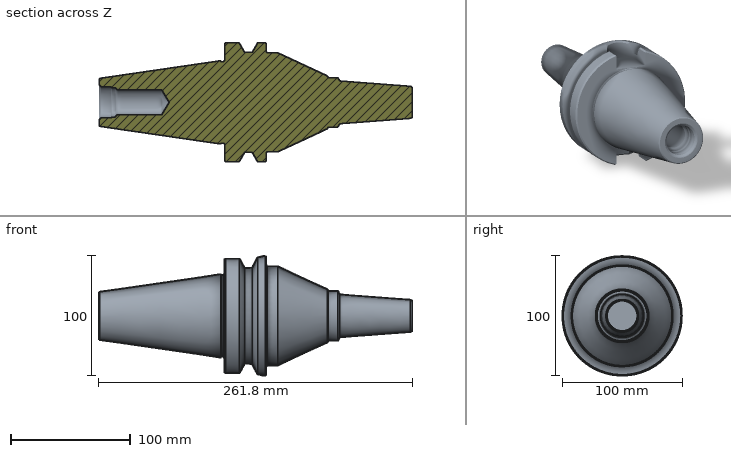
import cadquery as cq
import math

length = 261.8
flange_radius = 50.0

taper_length = 101.5
taper_small_radius = 20.2
taper_slope = 7 / 24 / 2
taper_large_radius = taper_small_radius + taper_length * taper_slope
shank_edge = 0.8

relief_start = 102.0
relief_end = 104.0
relief_radius = 34.3

flange_start = 104.7
flange_width = 35.0
flange_end = flange_start + flange_width
front_edge_length = 1.3
front_edge_drop = 1.0
rear_edge = 0.8
flange_root = 0.8
groove_center = 125.0
groove_floor_width = 6.3
groove_floor_radius = 42.1
groove_half_angle = 30.0

body_radius = 41.5
body_end = 149.2
cone_end = 190.9
cone_end_radius = 22.3
collar_radius = 21.0
collar_start = 191.6
collar_end = 199.5
nose_start = 201.3
nose_start_radius = 18.0
nose_end_radius = 13.5
nose_edge_length = 1.5
nose_edge_drop = 1.0

slot_width = 26.2
slot_end = 136.0
slot_floor = 35.3
slot_chamfer = 1.3

mouth_radius = 15.0
mouth_edge = 0.5
counterbore_radius = 12.8
counterbore_depth = 10.0
pilot_radius = 12.0
pilot_depth = 13.5
thread_radius = 10.2
bore_depth = 52.4
drill_half_angle = 59.0


def revolve_about_x(points):
    """Close an (x, radius) outline along the X axis and spin it."""
    outline = cq.Workplane("XY").polyline(points).close()
    return outline.revolve(360, (0, 0, 0), (1, 0, 0))


def make_blank():
    """Solid of revolution from the shank end to the nose tip."""
    half_floor = groove_floor_width / 2
    groove_run = (flange_radius - groove_floor_radius) * math.tan(math.radians(groove_half_angle))
    half_mouth = half_floor + groove_run
    return revolve_about_x([
        (0, 0),
        (0, taper_small_radius - shank_edge),
        (shank_edge, taper_small_radius + shank_edge * taper_slope),
        (taper_length, taper_large_radius),
        (relief_start, relief_radius),
        (relief_end, relief_radius),
        (flange_start, relief_radius + flange_start - relief_end),
        (flange_start, flange_radius - front_edge_drop),
        (flange_start + front_edge_length, flange_radius),
        (groove_center - half_mouth, flange_radius),
        (groove_center - half_floor, groove_floor_radius),
        (groove_center + half_floor, groove_floor_radius),
        (groove_center + half_mouth, flange_radius),
        (flange_end - rear_edge, flange_radius),
        (flange_end, flange_radius - rear_edge),
        (flange_end, body_radius + flange_root),
        (flange_end + flange_root, body_radius),
        (body_end, body_radius),
        (cone_end, cone_end_radius),
        (collar_start, collar_radius),
        (collar_end, collar_radius),
        (nose_start, nose_start_radius),
        (length - nose_edge_length, nose_end_radius),
        (length, nose_end_radius - nose_edge_drop),
        (length, 0),
    ])


def make_bore():
    """Stepped blind bore in the shank end, closed by a drill-point cone."""
    chamfer_radius = mouth_radius - mouth_edge
    chamfer_depth = mouth_edge / 2 + chamfer_radius - counterbore_radius
    drill_tip = bore_depth + thread_radius / math.tan(math.radians(drill_half_angle))
    pilot_start = counterbore_depth + counterbore_radius - pilot_radius
    thread_start = pilot_depth + pilot_radius - thread_radius
    return revolve_about_x([
        (0, 0),
        (0, mouth_radius),
        (mouth_edge / 2, chamfer_radius),
        (chamfer_depth, counterbore_radius),
        (counterbore_depth, counterbore_radius),
        (pilot_start, pilot_radius),
        (pilot_depth, pilot_radius),
        (thread_start, thread_radius),
        (bore_depth, thread_radius),
        (drill_tip, 0),
    ])


def make_slot():
    """Round-ended drive slot on the +Z side, open towards the shank."""
    half_width = slot_width / 2
    round_center = slot_end - half_width
    return (
        cq.Workplane("XY", origin=(0, 0, slot_floor))
        .moveTo(flange_start, -half_width)
        .lineTo(round_center, -half_width)
        .threePointArc((slot_end, 0), (round_center, half_width))
        .lineTo(flange_start, half_width)
        .close()
        .extrude(flange_radius - slot_floor)
    )


def slot_rim(side):
    """Box around the slot edges that lie on the outer cylinder of the flange."""
    margin = slot_chamfer / 2
    rim_half_width = slot_width / 2 + margin
    rim_height = math.sqrt(flange_radius**2 - rim_half_width**2)
    return cq.selectors.BoxSelector(
        (flange_start, -rim_half_width, side * rim_height),
        (slot_end + margin, rim_half_width, side * (flange_radius + margin)),
    )


result = make_blank().cut(make_bore())

for turn in (0, 180):
    result = result.cut(make_slot().rotate((0, 0, 0), (1, 0, 0), turn))
for side in (1, -1):
    result = result.edges(slot_rim(side)).chamfer(slot_chamfer)